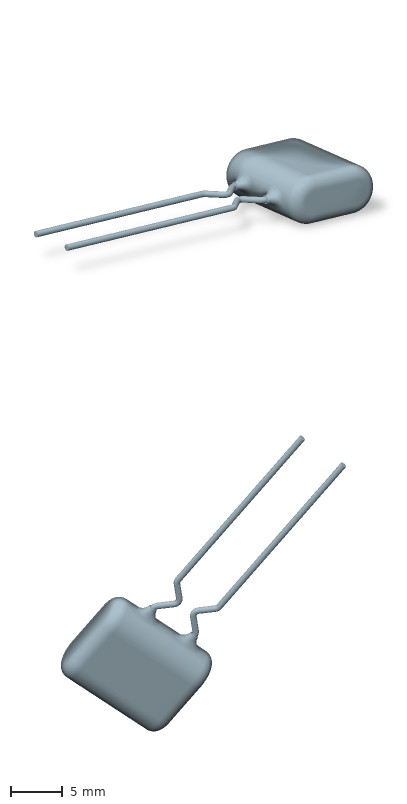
import cadquery as cq
import math

TOTAL_LENGTH = 35.0
BODY_WIDTH = 12.0
BODY_DEPTH = 10.0
BODY_HEIGHT = 4.9
SIDE_ROUND = 1.2

LEAD_PITCH = 5.0
COLLAR_RADIUS = 0.42
COLLAR_LENGTH = 1.0
SKIRT_ROUND = 1.2

WIRE_RADIUS = 0.3
KINK_OFFSET = 1.5
BEND_RADIUS = 0.6
BEND_ANGLE = math.radians(45)

LEAD_SIDES = (-1, 1)


def make_body():
    """Rounded capacitor body with a flared collar around each lead exit."""
    body = (
        cq.Workplane("YZ", origin=(-BODY_WIDTH / 2, BODY_DEPTH / 2, 0))
        .slot2D(BODY_DEPTH, BODY_HEIGHT)
        .extrude(BODY_WIDTH)
        .faces("<X or >X")
        .edges()
        .fillet(SIDE_ROUND)
    )
    post_start = BODY_HEIGHT / 2
    post_end = COLLAR_LENGTH + SKIRT_ROUND
    for side in LEAD_SIDES:
        lead_x = side * LEAD_PITCH / 2
        post = (
            cq.Workplane("XZ", origin=(lead_x, post_start, 0))
            .circle(COLLAR_RADIUS)
            .extrude(post_start + post_end)
        )
        body = body.union(post)
        root_box = cq.selectors.BoxSelector(
            (lead_x - 2 * COLLAR_RADIUS, -COLLAR_RADIUS, -2 * COLLAR_RADIUS),
            (lead_x + 2 * COLLAR_RADIUS, COLLAR_RADIUS, 2 * COLLAR_RADIUS),
            boundingbox=True,
        )
        body = body.edges(root_box).fillet(SKIRT_ROUND)

    trim = (
        cq.Workplane("XZ", origin=(0, -COLLAR_LENGTH, 0))
        .rect(BODY_WIDTH, BODY_HEIGHT)
        .extrude(post_end)
    )
    return body.cut(trim).solids()


def make_lead(side):
    """Round wire with a V-shaped kink toward the middle, then a straight run."""
    bend_shift = BEND_RADIUS * (1 - math.cos(BEND_ANGLE))
    bend_run = BEND_RADIUS * math.sin(BEND_ANGLE)
    mid_shift = BEND_RADIUS * (1 - math.cos(BEND_ANGLE / 2))
    mid_run = BEND_RADIUS * math.sin(BEND_ANGLE / 2)
    slope_shift = KINK_OFFSET - 2 * bend_shift
    slope_run = slope_shift / math.tan(BEND_ANGLE)
    apex_run = 2 * bend_run + slope_run
    kink_run = 2 * apex_run
    lead_length = TOTAL_LENGTH - BODY_DEPTH - COLLAR_LENGTH

    def point(shift, run):
        """Point shifted toward the middle, a given run beyond the collar."""
        return (side * (LEAD_PITCH / 2 - shift), -COLLAR_LENGTH - run)

    path = (
        cq.Workplane("XY")
        .moveTo(*point(0, 0))
        .threePointArc(point(mid_shift, mid_run), point(bend_shift, bend_run))
        .lineTo(*point(KINK_OFFSET - bend_shift, apex_run - bend_run))
        .threePointArc(
            point(KINK_OFFSET, apex_run),
            point(KINK_OFFSET - bend_shift, apex_run + bend_run),
        )
        .lineTo(*point(bend_shift, kink_run - bend_run))
        .threePointArc(point(mid_shift, kink_run - mid_run), point(0, kink_run))
        .lineTo(*point(0, lead_length))
    )
    start_x, start_y = point(0, 0)
    return cq.Workplane("XZ", origin=(start_x, start_y, 0)).circle(WIRE_RADIUS).sweep(path)


body = make_body()
leads = [make_lead(side) for side in LEAD_SIDES]

result = cq.Compound.makeCompound([body.val(), *[lead.val() for lead in leads]])